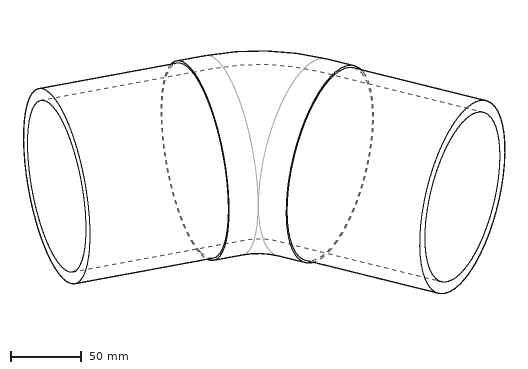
import cadquery as cq
import math

overall_length = 314.0
bend_angle = 45.0
pipe_diameter = 140.0
bore_diameter = 123.0
body_diameter = 143.2
body_bend_radius = 72.0
bore_bend_radius = 62.0
collar_length = 21.7

bend_sin = math.sin(math.radians(bend_angle))
bend_cos = math.cos(math.radians(bend_angle))
half_bend_tan = math.tan(math.radians(bend_angle / 2))

far_rim_rise = pipe_diameter / 2 * bend_sin
leg_reach = (overall_length - far_rim_rise) / (1 + bend_cos)
collar_reach = body_bend_radius * half_bend_tan + collar_length

near_direction = cq.Vector(0, -1, 0)
far_direction = cq.Vector(bend_sin, bend_cos, 0)


def bend(diameter, radius):
    """Solid round elbow tangent to both leg axes."""
    start = near_direction * (radius * half_bend_tan)
    start_plane = cq.Plane(origin=start, xDir=(1, 0, 0), normal=near_direction)
    return (
        cq.Workplane(start_plane)
        .circle(diameter / 2)
        .revolve(bend_angle, (radius, 3, 0), (radius, -3, 0))
    )


def leg(direction, diameter, bend_radius, reach):
    """Solid cylinder from the end of a bend out to a reach from the corner."""
    start_reach = bend_radius * half_bend_tan
    plane = cq.Plane(origin=direction * start_reach, xDir=(0, 0, 1), normal=direction)
    return cq.Workplane(plane).circle(diameter / 2).extrude(reach - start_reach)


outside = bend(body_diameter, body_bend_radius)
bore = bend(bore_diameter, bore_bend_radius)
for direction in (near_direction, far_direction):
    outside = outside.union(leg(direction, body_diameter, body_bend_radius, collar_reach))
    outside = outside.union(leg(direction, pipe_diameter, body_bend_radius, leg_reach))
    bore = bore.union(leg(direction, bore_diameter, bore_bend_radius, leg_reach))

result = outside.cut(bore)